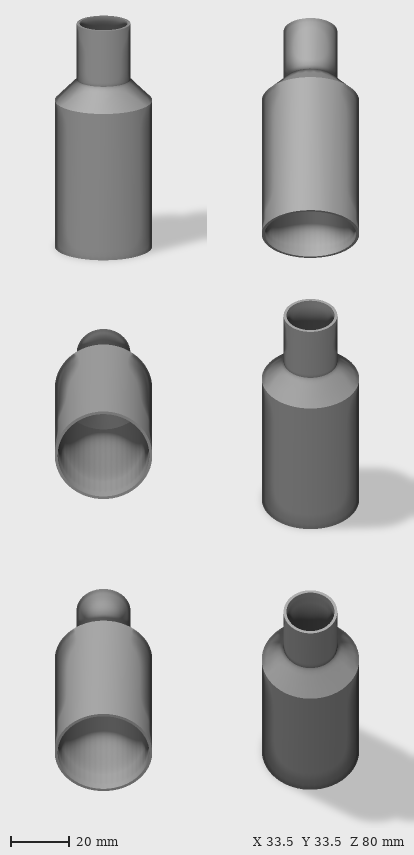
import cadquery as cq

total_height = 80.0
wide_outer_radius = 33.5 / 2
wide_bore_radius = 31.5 / 2
narrow_outer_radius = 18.5 / 2
narrow_bore_radius = 16.5 / 2
narrow_pipe_length = 20.0

shoulder_height = wide_outer_radius - narrow_outer_radius
shoulder_top = total_height - narrow_pipe_length
shoulder_bottom = shoulder_top - shoulder_height


def stepped_solid(wide_radius, narrow_radius):
    """Wide cylinder, conical shoulder and narrow cylinder as one revolved solid."""
    return (
        cq.Workplane("XZ")
        .moveTo(0, 0)
        .lineTo(wide_radius, 0)
        .lineTo(wide_radius, shoulder_bottom)
        .lineTo(narrow_radius, shoulder_top)
        .lineTo(narrow_radius, total_height)
        .lineTo(0, total_height)
        .close()
        .revolve(360, (0, 0, 0), (0, 1, 0))
    )


outer_body = stepped_solid(wide_outer_radius, narrow_outer_radius)
bore = stepped_solid(wide_bore_radius, narrow_bore_radius)
result = outer_body.cut(bore)